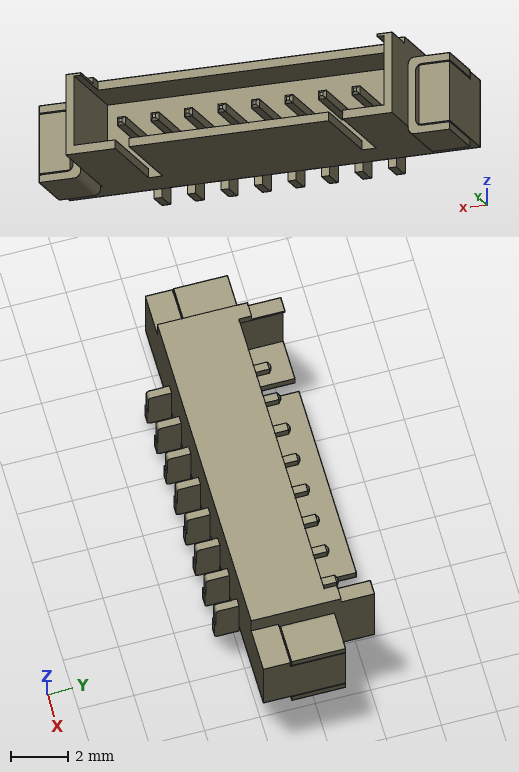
import cadquery as cq


total_length = 15.33
total_height = 3.53
standoff = 0.32
shell_length = 12.17
shell_depth = 4.46
wing_depth = 2.97
wing_top = 2.79
half_length = total_length / 2
half_shell = shell_length / 2

corner_step_depth = 1.21
corner_step_height = 0.23
roof_cut_length = 11.07
roof_cut_depth = 1.67

side_wall = 0.3
roof_thickness = 0.32
floor_thickness = 0.32
rear_wall = 1.23
cavity_depth = shell_depth - rear_wall
cavity_length = shell_length - 2 * side_wall
cavity_bottom = standoff + floor_thickness
cavity_top = total_height - roof_thickness

key_slot_width = 0.52
key_slot_center = 3.99

contact_count = 8
contact_row_length = 8.75
contact_pitch = contact_row_length / (contact_count - 1)
contact_width = 0.29
contact_top = 1.82
contact_reach = 3.62
contact_bar_height = 0.3
tip_taper = 0.09
leg_depth = 0.89
leg_step_height = 0.87
leg_step_depth = 0.05
leg_radius = 0.14

clip_thickness = 0.28
clip_width = 1.95
clip_height = 2.84
clip_outer_radius = 0.23
clip_inner_radius = 0.25
clip_clearance = 0.05
upright_inner_gap = 0.03
upright_outer_gap = 0.12
clip_rear = wing_depth - clip_width
clip_inner_end = half_shell + upright_inner_gap
clip_side_signs = (-1, 1)


def box_between(x_range, y_range, z_range):
    """Axis-aligned box spanning the given (low, high) ranges."""
    sizes = [high - low for low, high in (x_range, y_range, z_range)]
    lows = [span[0] for span in (x_range, y_range, z_range)]
    return cq.Workplane("XY").box(*sizes, centered=False).translate(tuple(lows))


def centered_range(center, size):
    return (center - size / 2, center + size / 2)


def make_shell():
    """Housing block with its wings, opened by the mating cavity."""
    shell = box_between(
        centered_range(0, shell_length), (0, shell_depth), (standoff, total_height)
    )
    wings = box_between(
        centered_range(0, total_length), (0, wing_depth), (standoff, wing_top)
    )
    corner_step = box_between(
        centered_range(0, shell_length),
        (shell_depth - corner_step_depth, shell_depth),
        (total_height - corner_step_height, total_height),
    )
    roof_cut = box_between(
        centered_range(0, roof_cut_length),
        (shell_depth - roof_cut_depth, shell_depth),
        (cavity_bottom, total_height),
    )
    cavity = box_between(
        centered_range(0, cavity_length),
        (shell_depth - cavity_depth, shell_depth),
        (cavity_bottom, cavity_top),
    )
    shell = shell.union(wings).cut(corner_step).cut(roof_cut).cut(cavity)
    for side in clip_side_signs:
        key_slot = box_between(
            centered_range(side * key_slot_center, key_slot_width),
            (shell_depth - cavity_depth, shell_depth),
            (standoff, cavity_bottom),
        )
        shell = shell.cut(key_slot).cut(make_clip_slot(side))
    return shell


def make_clip_slot(side):
    """Recess in the wing top and upright slot that take one clip, with clearance."""
    slot_rear = clip_rear - clip_clearance
    recess_floor = clip_height - clip_thickness - clip_clearance
    slot_outer_end = clip_inner_end + clip_thickness + upright_outer_gap
    recess = box_between(
        (half_shell, half_length), (slot_rear, wing_depth), (recess_floor, wing_top)
    )
    upright = box_between(
        (half_shell, slot_outer_end), (slot_rear, wing_depth), (standoff, wing_top)
    )
    slot = recess.union(upright)
    return slot if side > 0 else slot.mirror("YZ")


def make_contact(center_x):
    """Contact with a pointed bar in the cavity and a rounded leg behind the housing."""
    leg = (
        cq.Workplane("YZ")
        .moveTo(0, 0)
        .lineTo(-leg_depth + leg_radius, 0)
        .radiusArc((-leg_depth, leg_radius), leg_radius)
        .lineTo(-leg_depth, leg_step_height)
        .lineTo(-leg_depth + leg_step_depth, leg_step_height)
        .lineTo(-leg_depth + leg_step_depth, contact_top - leg_radius)
        .radiusArc((-leg_depth + leg_step_depth + leg_radius, contact_top), leg_radius)
        .lineTo(0, contact_top)
        .close()
        .extrude(contact_width / 2, both=True)
    )
    bar = box_between(
        centered_range(0, contact_width),
        (0, contact_reach),
        (contact_top - contact_bar_height, contact_top),
    )
    bar = bar.faces(">Y").chamfer(tip_taper)
    return leg.union(bar).translate((center_x, 0, 0))


def make_housing():
    """Housing with the whole row of contacts moulded in."""
    housing = make_shell()
    for index in range(contact_count):
        center_x = index * contact_pitch - contact_row_length / 2
        housing = housing.union(make_contact(center_x))
    return housing


def make_clip(side):
    """C-shaped strip whose two arms point outward from an upright in the wing."""
    strip = box_between(
        (clip_inner_end, half_length), (clip_rear, wing_depth), (0, clip_height)
    )
    strip = strip.edges("|Y and <X").fillet(clip_outer_radius)
    opening = box_between(
        (clip_inner_end + clip_thickness, half_length),
        (clip_rear, wing_depth),
        (clip_thickness, clip_height - clip_thickness),
    )
    opening = opening.edges("|Y and <X").fillet(clip_inner_radius)
    clip = strip.cut(opening)
    return clip if side > 0 else clip.mirror("YZ")


housing = make_housing()
clips = [make_clip(side) for side in clip_side_signs]

result = cq.Compound.makeCompound([housing.val(), *[clip.val() for clip in clips]])